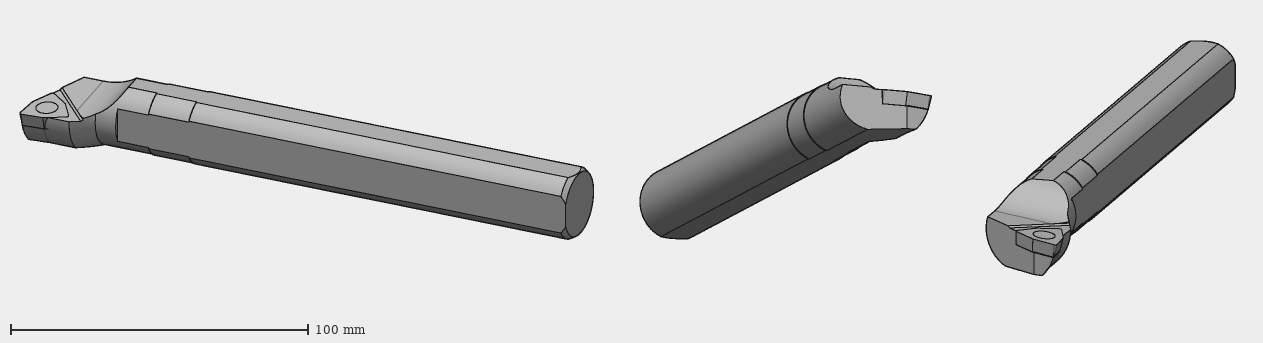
import cadquery as cq
import math

bar_length = 201.0
shank_radius = 12.5
step_radius = 12.3
neck_radius = 12.0
shank_start = 60.3
step_start = 45.2
flat_height = 11.5
side_flat_depth = 10.5
side_flat_start = 33.8
chamfer_length = 1.8
chamfer_depth = 1.2

head_radius = 15.7
head_tip_radius = 16.3
head_taper_end = 8.5
flare_start = 18.0
flare_end = 26.1

insert_y = -10.0
inscribed_radius = 6.5
insert_thickness = 4.8
nose_radius = 0.8
insert_clearance = 7.0
insert_heading = 223.7
corner_half_angle = 40.0
normal_angle = 90.0 - corner_half_angle
corner_spacing = 120.0
bend_angle = corner_spacing / 2
nose_center_radius = (inscribed_radius - nose_radius) / math.sin(math.radians(corner_half_angle))
insert_x = nose_radius - nose_center_radius * math.cos(math.radians(insert_heading))
screw_head_diameter = 7.5
screw_diameter = 5.5
screw_cone_depth = (screw_head_diameter - screw_diameter) / 2

tilt = 7.0
rake_height = 2.2
floor_step = 0.5
step_run = 0.8
wall_gap = 2.0
floor_end = 17.9
pocket_radius = 19.7
pocket_arc_angle = 70.0
holder_setback = 0.5
reach = 40.2


def polar(distance, angle):
    """Point at a distance and an angle in degrees from the origin."""
    turn = math.radians(angle)
    return distance * math.cos(turn), distance * math.sin(turn)


def shifted(point, distance, angle):
    dx, dy = polar(distance, angle)
    return point[0] + dx, point[1] + dy


def rake_plane():
    """Plane of the insert's top face, with its origin at the insert's centre."""
    height = rake_height + insert_y * math.tan(math.radians(tilt))
    plane = cq.Plane(origin=(insert_x, insert_y, height))
    return plane.rotated((tilt, 0, 0))


def bend_radius(inner_radius):
    """Distance from the centre of the trigon to its bends."""
    return inner_radius / math.cos(math.radians(bend_angle - normal_angle))


def corner_radius(inner_radius):
    """Distance from the centre of the trigon to its sharp corners."""
    return inner_radius / math.sin(math.radians(corner_half_angle))


def make_insert():
    outline = cq.Workplane(rake_plane())
    for corner in range(3):
        heading = insert_heading + corner * corner_spacing
        nose_center = polar(nose_center_radius, heading)
        nose_start = shifted(nose_center, nose_radius, heading - normal_angle)
        nose_middle = shifted(nose_center, nose_radius, heading)
        nose_end = shifted(nose_center, nose_radius, heading + normal_angle)
        if corner == 0:
            outline = outline.moveTo(*nose_start)
        else:
            outline = outline.lineTo(*nose_start)
        outline = outline.threePointArc(nose_middle, nose_end)
        outline = outline.lineTo(*polar(bend_radius(inscribed_radius), heading + bend_angle))
    body = outline.close().extrude(-insert_thickness, taper=insert_clearance)
    return body.cut(make_screw_space())


def make_screw_space():
    """Countersunk hole through the insert, filled by the holder's screw head."""
    profile = (
        cq.Workplane("XZ")
        .polyline([
            (0, 0),
            (screw_head_diameter / 2, 0),
            (screw_diameter / 2, -screw_cone_depth),
            (screw_diameter / 2, -insert_thickness),
            (0, -insert_thickness),
        ])
        .close()
    )
    screw = profile.revolve(360, (0, 0), (0, 1)).val()
    return cq.Workplane(screw.moved(cq.Location(rake_plane())))


def turned(points):
    """Solid turned about the X axis from (x, radius) points."""
    return cq.Workplane("XY").polyline(points).close().revolve(360, (0, 0), (1, 0))


def make_bar():
    bar = turned([
        (0, 0),
        (0, neck_radius),
        (step_start, neck_radius),
        (step_start, step_radius),
        (shank_start, step_radius),
        (shank_start, shank_radius),
        (bar_length - chamfer_length, shank_radius),
        (bar_length, shank_radius - chamfer_depth),
        (bar_length, 0),
    ])
    side_cut = cq.Workplane("XY").box(
        bar_length, reach, 2 * reach, centered=(False, False, True)
    ).translate((side_flat_start, -side_flat_depth - reach, 0))
    return bar.cut(side_cut)


def make_head():
    """Flared head, kept only on the -Y side of the axis."""
    flare = turned([
        (0, 0),
        (0, head_tip_radius),
        (head_taper_end, head_radius),
        (flare_start, head_radius),
        (flare_end, neck_radius),
        (flare_end, 0),
    ])
    half_space = cq.Workplane("XY").box(
        2 * reach, reach, 2 * reach, centered=(True, False, True)
    ).translate((0, -reach, 0))
    return flare.intersect(half_space)


def make_end_outline():
    """Prism that trims the top and bottom flats and the end faces beside the insert."""
    inner_radius = inscribed_radius - holder_setback
    center = (insert_x, insert_y)
    left_bend = shifted(center, bend_radius(inner_radius), insert_heading - bend_angle)
    corner = shifted(center, corner_radius(inner_radius), insert_heading)
    front_bend = shifted(center, bend_radius(inner_radius), insert_heading + bend_angle)
    edge_bend = shifted(center, bend_radius(inscribed_radius), insert_heading - bend_angle)
    end_direction = insert_heading + normal_angle - corner_spacing - 90.0
    far_end = shifted(edge_bend, reach, end_direction)
    return (
        cq.Workplane("XY")
        .polyline([
            far_end,
            left_bend,
            corner,
            front_bend,
            (front_bend[0], -reach),
            (bar_length, -reach),
            (bar_length, far_end[1]),
        ])
        .close()
        .extrude(flat_height, both=True)
    )


def make_chip_pocket():
    """Space above the tilted floor, ending in a concave cylinder."""
    floor_height = rake_height + floor_step
    arc_end = (
        floor_end + pocket_radius * math.sin(math.radians(pocket_arc_angle)),
        floor_height + pocket_radius * (1 - math.cos(math.radians(pocket_arc_angle))),
    )
    arc_middle = (
        floor_end + pocket_radius * math.sin(math.radians(pocket_arc_angle / 2)),
        floor_height + pocket_radius * (1 - math.cos(math.radians(pocket_arc_angle / 2))),
    )
    pocket = (
        cq.Workplane("XZ")
        .moveTo(-reach, floor_height)
        .lineTo(floor_end, floor_height)
        .threePointArc(arc_middle, arc_end)
        .lineTo(arc_end[0], reach)
        .lineTo(-reach, reach)
        .close()
        .extrude(reach, both=True)
    )
    pivot = (0, 0, rake_height)
    return pocket.rotate(pivot, (1, 0, rake_height), tilt)


def make_insert_ledge():
    """Lower level around the insert, behind it a wall sloped at its foot and upright above."""
    wall_direction = insert_heading + 180.0
    across = rake_plane().rotated((0, 0, wall_direction))
    wall_foot = bend_radius(inscribed_radius) + wall_gap - step_run
    return (
        cq.Workplane(cq.Plane(across.origin, across.xDir, -across.yDir))
        .polyline([
            (-reach, 0),
            (wall_foot, 0),
            (wall_foot + step_run, floor_step),
            (wall_foot + step_run, reach),
            (-reach, reach),
        ])
        .close()
        .extrude(reach, both=True)
    )


def make_holder(insert):
    holder = make_bar().union(make_head())
    holder = holder.intersect(make_end_outline())
    holder = holder.cut(make_chip_pocket()).cut(make_insert_ledge())
    return holder.cut(insert)


insert = make_insert()
holder = make_holder(insert)

result = cq.Compound.makeCompound([holder.solids().val(), insert.solids().val()])